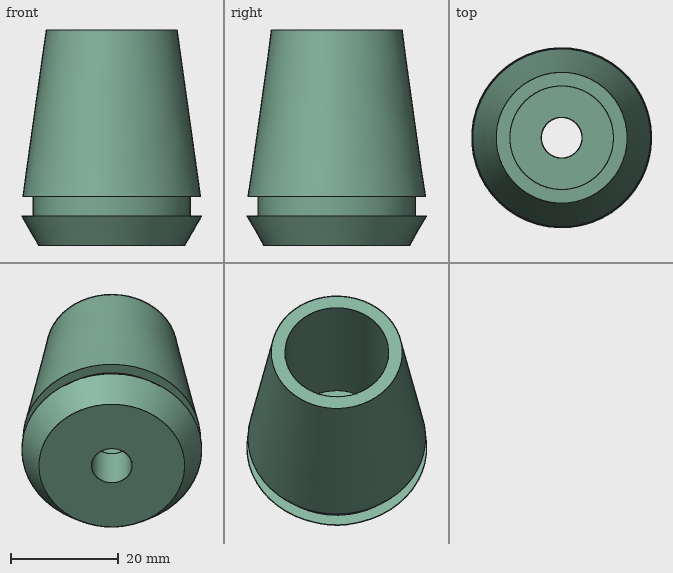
import cadquery as cq
import math

height = 40.0
flange_diameter = 33.35

flange_height = 5.5
flange_half_angle = 30.0

groove_diameter = 29.2
groove_width = 3.6

taper_base_diameter = 32.94
taper_half_angle = 8.0

bore_diameter = 19.2
bore_floor_height = 10.0
hole_diameter = 7.5

flange_radius = flange_diameter / 2
flange_base_radius = flange_radius - flange_height * math.tan(math.radians(flange_half_angle))
groove_radius = groove_diameter / 2
taper_base_height = flange_height + groove_width
taper_base_radius = taper_base_diameter / 2
taper_height = height - taper_base_height
taper_top_radius = taper_base_radius - taper_height * math.tan(math.radians(taper_half_angle))


def collet_body():
    """Solid outer shape, revolved about Z from its half profile."""
    half_profile = [
        (0, 0),
        (flange_base_radius, 0),
        (flange_radius, flange_height),
        (groove_radius, flange_height),
        (groove_radius, taper_base_height),
        (taper_base_radius, taper_base_height),
        (taper_top_radius, height),
        (0, height),
    ]
    return cq.Workplane("XZ").polyline(half_profile).close().revolve(360, (0, 0), (0, 1))


def bore():
    """Flat-bottomed cylinder removed from the top."""
    floor = cq.Workplane("XY").workplane(offset=bore_floor_height)
    return floor.circle(bore_diameter / 2).extrude(height - bore_floor_height)


def through_hole():
    """Cylinder removed along the whole axis."""
    return cq.Workplane("XY").circle(hole_diameter / 2).extrude(height)


result = collet_body().cut(bore()).cut(through_hole())